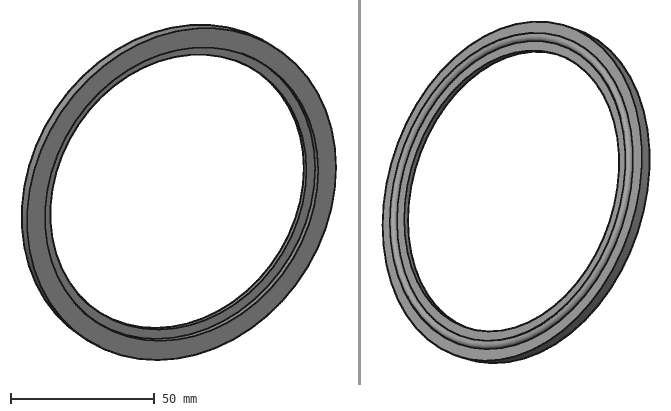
import cadquery as cq
import math

outer_radius = 60.5
bore_radius = 50.1
total_thickness = 5.8

bead_radius = 1.5
bead_center_radius = 54.9
bead_wall_height = 0.2

lip_thickness = 2.0
lip_rise = 0.2
lip_taper_angle = 1.0

bead_top_x = -total_thickness / 2
back_x = total_thickness / 2
bead_center_x = bead_top_x + bead_radius
rim_x = bead_center_x + bead_wall_height
lip_outer_x = rim_x - lip_rise

bead_inner_radius = bead_center_radius - math.sqrt(bead_radius**2 - (lip_outer_x - bead_center_x) ** 2)
bead_outer_radius = bead_center_radius + bead_radius
lip_width = bead_inner_radius - bore_radius
lip_bore_x = lip_outer_x - lip_width * math.tan(math.radians(lip_taper_angle))

counterbore_radius = bead_inner_radius
counterbore_floor_x = lip_bore_x + lip_thickness

section = (
    cq.Workplane("XY")
    .moveTo(lip_bore_x, bore_radius)
    .lineTo(lip_outer_x, bead_inner_radius)
    .threePointArc((bead_top_x, bead_center_radius), (bead_center_x, bead_outer_radius))
    .lineTo(rim_x, bead_outer_radius)
    .lineTo(rim_x, outer_radius)
    .lineTo(back_x, outer_radius)
    .lineTo(back_x, counterbore_radius)
    .lineTo(counterbore_floor_x, counterbore_radius)
    .lineTo(counterbore_floor_x, bore_radius)
    .close()
)

result = section.revolve(360, (0, 0, 0), (1, 0, 0))